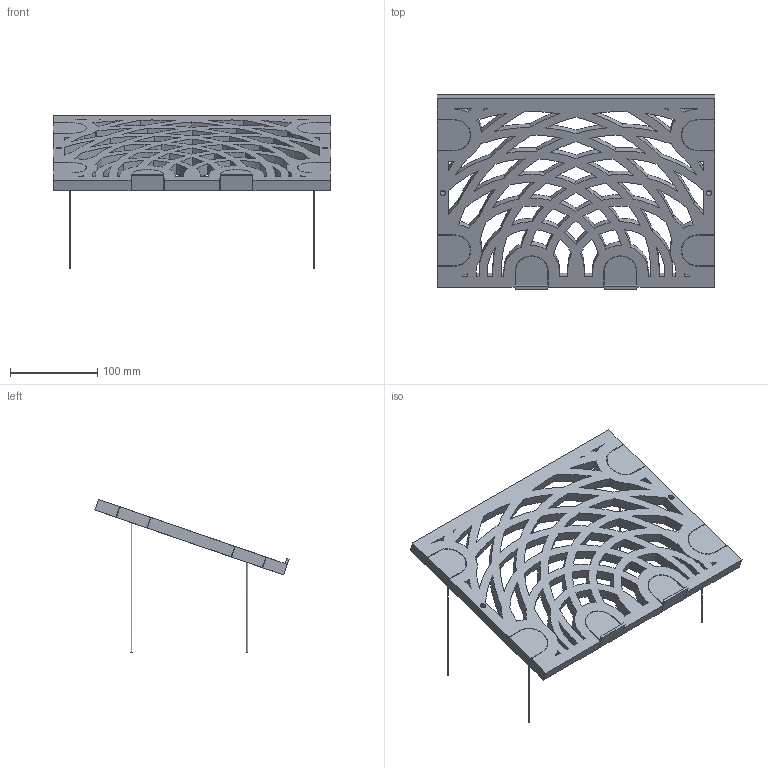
import cadquery as cq
import math

PANEL_WIDTH = 317.5
PANEL_LENGTH = 228.6
THICKNESS = 12.7
TILT = 19.0
BORDER = 12.7
PEG_HOLE_DIAMETER = 6.35
PEG_HOLE_X = (PANEL_WIDTH - BORDER) / 2

POCKET_RADIUS = 19.05
PAD_CLEARANCE = 0.508
PAD_RADIUS = POCKET_RADIUS - PAD_CLEARANCE
PAD_STRAIGHT = 19.05
FRONT_PAD_X = 50.8
SIDE_PAD_Y = (44.45, 184.15)

LIP_HEIGHT = 6.35
LIP_THICKNESS = 2.6

LEG_DIAMETER = 1.5875
LEG_DROP = 88.9
LEG_EMBED = LEG_DIAMETER

BAND_WIDTH = 9.525
BAND_GAP = 19.05
SMALLEST_OPENING = 25.0
BAND_PITCH = BAND_WIDTH + BAND_GAP
FIRST_BAND_RADIUS = POCKET_RADIUS + BORDER + BAND_GAP
LATTICE_REACH = math.hypot(PANEL_WIDTH / 2 + FRONT_PAD_X, PANEL_LENGTH)
BAND_COUNT = math.ceil((LATTICE_REACH - FIRST_BAND_RADIUS) / BAND_PITCH)

SLOPE = math.radians(TILT)

UNDERSIDE = cq.Plane(
    origin=(0, 0, 0),
    xDir=(1, 0, 0),
    normal=(0, -math.sin(SLOPE), math.cos(SLOPE)),
)


def tongue(radius):
    """Panel-thick tongue growing along +Y from the origin, with a round end of this radius."""
    return (
        cq.Workplane("XY")
        .moveTo(-radius, 0)
        .lineTo(-radius, PAD_STRAIGHT)
        .threePointArc((0, PAD_STRAIGHT + radius), (radius, PAD_STRAIGHT))
        .lineTo(radius, 0)
        .close()
        .extrude(THICKNESS)
    )


def at_front(shape, side):
    """Place a tongue on the front edge, left (-1) or right (+1) of the middle."""
    return shape.translate((side * FRONT_PAD_X, 0, 0))


def at_side(shape, side, along):
    """Turn a tongue inward and place it on the left (-1) or right (+1) edge."""
    turned = shape.rotate((0, 0, 0), (0, 0, 1), side * 90)
    return turned.translate((side * PANEL_WIDTH / 2, along, 0))


def at_every_pad(shape):
    """Copies of a tongue at the two front and four side pads."""
    front = [at_front(shape, side) for side in (-1, 1)]
    sides = [at_side(shape, side, along) for side in (-1, 1) for along in SIDE_PAD_Y]
    return front + sides


def tilted(shape):
    """Move a body from the flat layout onto the sloping panel plane."""
    return cq.Workplane(shape.val().moved(cq.Location(UNDERSIDE)))


def lattice_openings():
    """Everything inside the rim that is not covered by a band or by the border of a pad."""
    openings = cq.Workplane("XY").box(
        PANEL_WIDTH - 2 * BORDER,
        PANEL_LENGTH - 2 * BORDER,
        THICKNESS,
        centered=(True, True, False),
    ).translate((0, PANEL_LENGTH / 2, 0))
    for pad_border in at_every_pad(tongue(POCKET_RADIUS + BORDER)):
        openings = openings.cut(pad_border)
    for index in range(BAND_COUNT):
        inner_radius = FIRST_BAND_RADIUS + index * BAND_PITCH
        band = (
            cq.Workplane("XY", origin=(0, PAD_STRAIGHT, 0))
            .circle(inner_radius + BAND_WIDTH)
            .circle(inner_radius)
            .extrude(THICKNESS)
        )
        for side in (-1, 1):
            openings = openings.cut(at_front(band, side))
    return cq.Workplane().newObject(
        [opening for opening in openings.solids().vals() if opening.Volume() > SMALLEST_OPENING]
    ).combine()


def make_panel():
    """Flat panel with the lattice, the pad pockets and two peg holes, then tilted."""
    panel = cq.Workplane("XY").box(
        PANEL_WIDTH, PANEL_LENGTH, THICKNESS, centered=(True, False, False)
    )
    panel = panel.cut(lattice_openings())
    for pocket in at_every_pad(tongue(POCKET_RADIUS)):
        panel = panel.cut(pocket)
    peg_holes = (
        cq.Workplane("XY")
        .pushPoints([(side * PEG_HOLE_X, PANEL_LENGTH / 2) for side in (-1, 1)])
        .circle(PEG_HOLE_DIAMETER / 2)
        .extrude(THICKNESS)
    )
    return tilted(panel.cut(peg_holes))


def make_front_pad(side):
    """Pad on the front edge with a lip standing up along that edge."""
    lip = cq.Workplane("XY").box(
        2 * PAD_RADIUS, LIP_THICKNESS, THICKNESS + LIP_HEIGHT, centered=(True, False, False)
    )
    return tilted(at_front(tongue(PAD_RADIUS).union(lip), side))


def make_side_pad(side, along):
    """Pad on a side edge with a vertical rod leg below the center of its round end."""
    pad = tilted(at_side(tongue(PAD_RADIUS), side, along))
    root = UNDERSIDE.toWorldCoords(
        (side * (PANEL_WIDTH / 2 - PAD_STRAIGHT), along, 0)
    )
    leg = (
        cq.Workplane("XY", origin=(root.x, root.y, -LEG_DROP))
        .circle(LEG_DIAMETER / 2)
        .extrude(LEG_DROP + root.z + LEG_EMBED)
    )
    return pad.union(leg)


panel = make_panel()
front_pads = [make_front_pad(side) for side in (-1, 1)]
side_pads = [make_side_pad(side, along) for side in (-1, 1) for along in SIDE_PAD_Y]

result = cq.Compound.makeCompound([
    panel.val(),
    *[pad.val() for pad in front_pads],
    *[pad.val() for pad in side_pads],
])